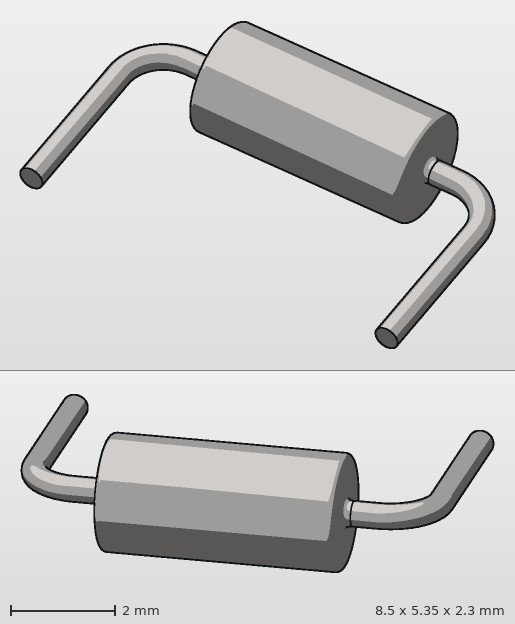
import cadquery as cq


overall_length = 8.5
overall_depth = 5.35
housing_diameter = 2.3
housing_length = 4.7
housing_edge_radius = 0.1

wire_diameter = 0.5
neck_length = 0.15
neck_fillet_radius = 0.1
bend_radius = 1.0

housing_radius = housing_diameter / 2
wire_radius = wire_diameter / 2
end_face_x = housing_length / 2
neck_end_x = end_face_x + neck_length
leg_x = overall_length / 2 - wire_radius
bend_start_x = leg_x - bend_radius
lead_drop = overall_depth - housing_radius


def make_housing():
    """Solid of revolution about X: barrel with rounded rims and a filleted neck at each end."""
    rim_x = end_face_x - housing_edge_radius
    rim_y = housing_radius - housing_edge_radius
    blend_x = end_face_x + neck_fillet_radius
    blend_y = wire_radius + neck_fillet_radius
    profile = (
        cq.Workplane("XY")
        .moveTo(-neck_end_x, 0)
        .lineTo(-neck_end_x, wire_radius)
        .lineTo(-blend_x, wire_radius)
        .radiusArc((-end_face_x, blend_y), -neck_fillet_radius)
        .lineTo(-end_face_x, rim_y)
        .radiusArc((-rim_x, housing_radius), housing_edge_radius)
        .lineTo(rim_x, housing_radius)
        .radiusArc((end_face_x, rim_y), housing_edge_radius)
        .lineTo(end_face_x, blend_y)
        .radiusArc((blend_x, wire_radius), -neck_fillet_radius)
        .lineTo(neck_end_x, wire_radius)
        .lineTo(neck_end_x, 0)
        .close()
    )
    return profile.revolve(360, (0, 0, 0), (1, 0, 0))


def make_lead(side):
    """Round wire leaving a neck along X and bending toward -Y; side is -1 or +1."""
    path = (
        cq.Workplane("XY")
        .moveTo(side * neck_end_x, 0)
        .lineTo(side * bend_start_x, 0)
        .radiusArc((side * leg_x, -bend_radius), side * bend_radius)
        .lineTo(side * leg_x, -lead_drop)
    )
    return (
        cq.Workplane("YZ", origin=(side * neck_end_x, 0, 0))
        .circle(wire_radius)
        .sweep(path)
    )


housing = make_housing()
leads = [make_lead(side) for side in (-1, 1)]

result = cq.Compound.makeCompound([housing.val(), *(lead.val() for lead in leads)])